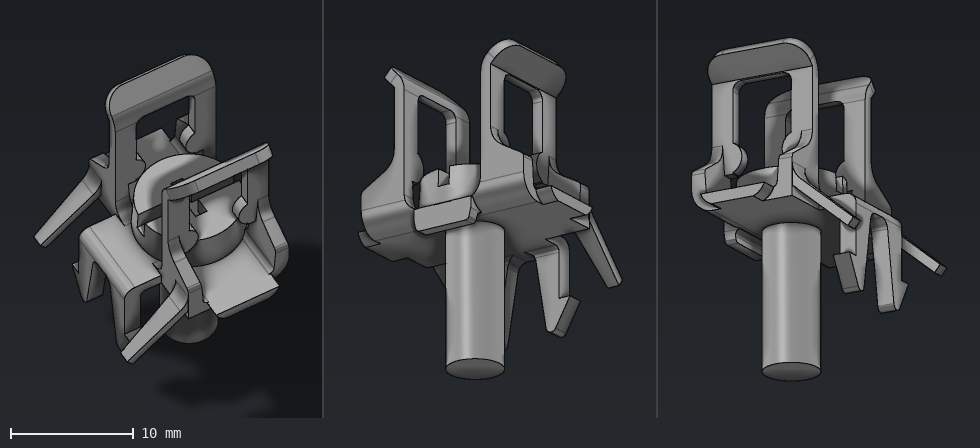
import cadquery as cq
import math

SHEET = 1.0
BODY_DEPTH = 9.5
HALF_DEPTH = BODY_DEPTH / 2
HALF_GAP = 3.75
WALL_OUT = HALF_GAP + SHEET
FLOOR_BEND = 1.5
TOP_Z = 14.5

LIP_ANGLE = 45
LIP_BEND = 2.0
LIP_REACH = 5.78
LIP_CORNER = 1.9

CHEEK_X = 8.0
CHEEK_SLOPE = 30
CHEEK_TOP_Z = 6.64
SHOULDER_CONCAVE = 2.0
SHOULDER_CONVEX = 0.5
CHEEK_INNER_TOP = 3.72
CHEEK_INNER_LOW = 3.3
CHEEK_FILLET = 0.5
REAR_ROUND = 2.0

WINDOW_HALF = 2.75
WINDOW_TOP = 11.95
WINDOW_CORNER = 0.8
BUMP_Y = 3.3
BUMP_Z = 5.44
BUMP_RADIUS = 1.4
WINDOW_STEP_Z = BUMP_Z - BUMP_RADIUS

WING_X = 9.5
WING_HALF_TOP = 3.0
WING_HALF_LOW = 1.95
WING_ROUND = 1.6

PIN_DIAMETER = 4.8
PIN_BOTTOM = -12.0
HEAD_TOP = 4.17
HEAD_RADIUS_LOW = 4.7
HEAD_RADIUS_TOP = 4.5
SLOT_WIDTH = 1.07
SLOT_DEPTH = 1.6
CROSS_LENGTH = 3.95

TONGUE_HALF = 3.68
TONGUE_FRONT = -8.25
LEG_THICK = 1.53
TONGUE_BEND = 1.0
TONGUE_INNER_BEND = 0.5
BARB_HALF = 4.77
BARB_Z = -4.5
LEG_TIP_Z = -7.27
LEG_TIP_HALF_OUT = 3.2
LEG_TIP_HALF_IN = 2.45
LEG_TIP_ROUND = 0.5
ARCH_HALF = 1.25
ARCH_ROUND = 0.9

LEVER_ROOT_WIDTH = 2.03
LEVER_TIP_WIDTH = 1.1
LEVER_ANGLE = 40
LEVER_BEND = 2.0
LEVER_TOP_Z = 2.9
LEVER_THICK = 0.84
LEVER_TIP_Y = -10.25

TAB_HALF = 2.8
TAB_THICK = 1.05
TAB_BOTTOM = -1.0
TAB_FILLET = 0.5
TAB_HALF_LOW = 2.55
TAB_CORNER = 0.35

OVER = 1.0


def mirrored(solid):
    """The solid joined with its mirror image across X = 0."""
    return solid.union(solid.mirror("YZ"))


def wall():
    """One side wall with lip, shoulder and half of the floor, on the +X side."""
    lip = math.radians(LIP_ANGLE)
    slope = math.radians(CHEEK_SLOPE)
    cos_lip, sin_lip = math.cos(lip), math.sin(lip)

    bend_dx = LIP_BEND * (1 - cos_lip)
    inner_end_x = HALF_GAP + bend_dx
    inner_end_z = TOP_Z - (LIP_REACH - inner_end_x) * math.tan(lip)
    bend_z = inner_end_z - LIP_BEND * sin_lip
    bend_x = HALF_GAP + LIP_BEND
    bend_mid = (bend_x - LIP_BEND * math.cos(lip / 2), bend_z + LIP_BEND * math.sin(lip / 2))
    tip_out = (LIP_REACH + SHEET * sin_lip, TOP_Z - SHEET * cos_lip)
    crease_z = tip_out[1] - (tip_out[0] - WALL_OUT) * math.tan(lip)

    turn = math.pi / 2 - slope
    concave_x = WALL_OUT + SHOULDER_CONCAVE
    concave_mid = (concave_x - SHOULDER_CONCAVE * math.cos(turn / 2),
                   CHEEK_TOP_Z - SHOULDER_CONCAVE * math.sin(turn / 2))
    concave_end = (concave_x - SHOULDER_CONCAVE * math.cos(turn),
                   CHEEK_TOP_Z - SHOULDER_CONCAVE * math.sin(turn))
    convex_x = CHEEK_X - SHOULDER_CONVEX
    convex_start_x = convex_x + SHOULDER_CONVEX * math.cos(turn)
    convex_start_z = concave_end[1] - (convex_start_x - concave_end[0]) * math.tan(slope)
    convex_z = convex_start_z - SHOULDER_CONVEX * math.sin(turn)
    convex_mid = (convex_x + SHOULDER_CONVEX * math.cos(turn / 2),
                  convex_z + SHOULDER_CONVEX * math.sin(turn / 2))

    floor_arc = FLOOR_BEND * (1 - math.sqrt(0.5))
    outline = (
        cq.Workplane("XZ", origin=(0, HALF_DEPTH, 0))
        .moveTo(0, 0)
        .lineTo(CHEEK_X, 0)
        .lineTo(CHEEK_X, convex_z)
        .threePointArc(convex_mid, (convex_start_x, convex_start_z))
        .lineTo(*concave_end)
        .threePointArc(concave_mid, (WALL_OUT, CHEEK_TOP_Z))
        .lineTo(WALL_OUT, crease_z)
        .lineTo(*tip_out)
        .lineTo(LIP_REACH, TOP_Z)
        .lineTo(inner_end_x, inner_end_z)
        .threePointArc(bend_mid, (HALF_GAP, bend_z))
        .lineTo(HALF_GAP, SHEET + FLOOR_BEND)
        .threePointArc((HALF_GAP - floor_arc, SHEET + floor_arc), (HALF_GAP - FLOOR_BEND, SHEET))
        .lineTo(0, SHEET)
        .close()
    )
    body = outline.extrude(BODY_DEPTH)
    tip_x = (LIP_REACH + tip_out[0]) / 2
    tip_z = (TOP_Z + tip_out[1]) / 2
    near = SHEET / 5
    for y in (-HALF_DEPTH, HALF_DEPTH):
        corner = cq.selectors.BoxSelector(
            (tip_x - near, y - near, tip_z - near), (tip_x + near, y + near, tip_z + near))
        body = body.edges(corner).fillet(LIP_CORNER)
    return body


def cheek_inner_y(z):
    """Y of the slanted inner cheek face at height z."""
    share = (z - SHEET) / (CHEEK_TOP_Z - SHEET)
    return CHEEK_INNER_LOW + share * (CHEEK_INNER_TOP - CHEEK_INNER_LOW)


def slanted_opening(x_start, x_end, top_z):
    """Space between the slanted cheek faces, from the floor up to top_z."""
    low = cheek_inner_y(SHEET)
    high = cheek_inner_y(top_z)
    return (
        cq.Workplane("YZ", origin=(x_start, 0, 0))
        .polyline([(-low, SHEET), (low, SHEET), (high, top_z), (-high, top_z)])
        .close()
        .extrude(x_end - x_start)
        .edges("|X and <Z")
        .fillet(CHEEK_FILLET)
    )


def window():
    """Opening through both side walls, pinched by two round bumps."""
    length = 2 * (CHEEK_X + OVER)
    upper = (
        cq.Workplane("YZ", origin=(-length / 2, 0, 0))
        .moveTo(0, (WINDOW_STEP_Z + WINDOW_TOP) / 2)
        .rect(2 * WINDOW_HALF, WINDOW_TOP - WINDOW_STEP_Z)
        .extrude(length)
        .edges("|X and >Z")
        .fillet(WINDOW_CORNER)
    )
    bumps = (
        cq.Workplane("YZ", origin=(-length / 2, 0, 0))
        .pushPoints([(-BUMP_Y, BUMP_Z), (BUMP_Y, BUMP_Z)])
        .circle(BUMP_RADIUS)
        .extrude(length)
    )
    lower = slanted_opening(-length / 2, length / 2, WINDOW_STEP_Z)
    return upper.cut(bumps).union(lower)


def rear_edge():
    """Material outside the round along the rear lower edge."""
    length = 2 * (CHEEK_X + OVER)
    return (
        cq.Workplane("YZ", origin=(-length / 2, 0, 0))
        .moveTo(HALF_DEPTH - REAR_ROUND, 0)
        .radiusArc((HALF_DEPTH, REAR_ROUND), -REAR_ROUND)
        .lineTo(HALF_DEPTH, 0)
        .close()
        .extrude(length)
    )


def frame():
    """Floor, side walls and cheeks with all their openings."""
    body = mirrored(wall())
    cheek_space = slanted_opening(WALL_OUT, CHEEK_X + OVER, CHEEK_TOP_Z)
    return body.cut(rear_edge()).cut(window()).cut(mirrored(cheek_space))


def wings():
    """Floor strip that sticks out through both windows."""
    return (
        cq.Workplane("YZ", origin=(-WING_X, 0, 0))
        .moveTo(-WING_HALF_LOW, 0)
        .lineTo(WING_HALF_LOW, 0)
        .radiusArc((WING_HALF_TOP, SHEET), -WING_ROUND)
        .lineTo(-WING_HALF_TOP, SHEET)
        .radiusArc((-WING_HALF_LOW, 0), -WING_ROUND)
        .close()
        .extrude(2 * WING_X)
    )


def screw():
    """Pin with a tapered, cross-slotted head."""
    pin_base = cq.Workplane("XY", origin=(0, 0, PIN_BOTTOM))
    pin = pin_base.circle(PIN_DIAMETER / 2).extrude(SHEET - PIN_BOTTOM)
    head = (
        cq.Workplane("XZ")
        .polyline([(0, SHEET), (HEAD_RADIUS_LOW, SHEET), (HEAD_RADIUS_TOP, HEAD_TOP), (0, HEAD_TOP)])
        .close()
        .revolve(360, (0, 0, 0), (0, 1, 0))
    )
    slots = cq.Workplane("XY", origin=(0, 0, HEAD_TOP - SLOT_DEPTH))
    long_slot = slots.rect(SLOT_WIDTH, BODY_DEPTH + OVER).extrude(SLOT_DEPTH)
    cross_slot = slots.rect(CROSS_LENGTH, SLOT_WIDTH).extrude(SLOT_DEPTH)
    return pin.union(head.cut(long_slot).cut(cross_slot))


def tongue():
    """Strip bent down at the front, split into two barbed legs."""
    strip = (
        cq.Workplane("YZ", origin=(-BARB_HALF, 0, 0))
        .polyline([(-HALF_DEPTH, 0), (-HALF_DEPTH, SHEET), (TONGUE_FRONT, SHEET),
                   (TONGUE_FRONT, LEG_TIP_Z), (TONGUE_FRONT + LEG_THICK, LEG_TIP_Z),
                   (TONGUE_FRONT + LEG_THICK, 0)])
        .close()
        .extrude(2 * BARB_HALF)
    )
    strip = strip.edges("|X and <Y and >Z").fillet(TONGUE_BEND)
    inner_corner = cq.selectors.NearestToPointSelector((0, TONGUE_FRONT + LEG_THICK, 0))
    strip = strip.edges(inner_corner).fillet(TONGUE_INNER_BEND)

    depth = -TONGUE_FRONT
    legs = (
        cq.Workplane("XZ")
        .polyline([(-TONGUE_HALF, SHEET), (TONGUE_HALF, SHEET), (TONGUE_HALF, BARB_Z), (BARB_HALF, BARB_Z),
                   (LEG_TIP_HALF_OUT, LEG_TIP_Z), (-LEG_TIP_HALF_OUT, LEG_TIP_Z),
                   (-BARB_HALF, BARB_Z), (-TONGUE_HALF, BARB_Z)])
        .close()
        .extrude(depth)
    )
    arch = (
        cq.Workplane("XZ")
        .polyline([(-ARCH_HALF, 0), (ARCH_HALF, 0),
                   (LEG_TIP_HALF_IN, LEG_TIP_Z), (-LEG_TIP_HALF_IN, LEG_TIP_Z)])
        .close()
        .extrude(depth)
        .edges("|Y and >Z")
        .fillet(ARCH_ROUND)
    )
    legs = legs.cut(arch)
    return strip.intersect(legs.edges("|Y and <Z").fillet(LEG_TIP_ROUND))


def lever():
    """Tapered finger bent forward from the front of the +X cheek."""
    angle = math.radians(LEVER_ANGLE)
    cos_a, sin_a = math.cos(angle), math.sin(angle)
    turn = math.pi / 2 - angle
    bend_y = -HALF_DEPTH - LEVER_BEND

    def on_bend(turned):
        return (bend_y + LEVER_BEND * math.cos(turned), LEVER_TOP_Z - LEVER_BEND * math.sin(turned))

    bend_end = on_bend(turn)
    length = (bend_end[0] - LEVER_TIP_Y) / cos_a
    tip_top = (LEVER_TIP_Y, bend_end[1] - length * sin_a)
    tip_low = (tip_top[0] + LEVER_THICK * sin_a, tip_top[1] - LEVER_THICK * cos_a)
    root_low = (-HALF_DEPTH, tip_low[1] + (-HALF_DEPTH - tip_low[0]) * math.tan(angle))
    center_x = CHEEK_X - LEVER_ROOT_WIDTH / 2

    side = (
        cq.Workplane("YZ", origin=(center_x - LEVER_ROOT_WIDTH / 2, 0, 0))
        .moveTo(-HALF_DEPTH, LEVER_TOP_Z)
        .threePointArc(on_bend(turn / 2), bend_end)
        .lineTo(*tip_top)
        .lineTo(*tip_low)
        .lineTo(*root_low)
        .close()
        .extrude(LEVER_ROOT_WIDTH)
    )
    lever_plane = cq.Plane(
        origin=(center_x, *bend_end), xDir=(1, 0, 0), normal=(0, -sin_a, cos_a))
    root = LEVER_ROOT_WIDTH / 2
    tip = LEVER_TIP_WIDTH / 2
    taper_start = LEVER_BEND * math.sin(turn)
    back = taper_start + LEVER_BEND
    plan = (
        cq.Workplane(lever_plane)
        .polyline([(-root, back), (root, back), (root, taper_start),
                   (tip, -length), (-tip, -length), (-root, taper_start)])
        .close()
        .extrude(back, both=True)
    )
    return side.intersect(plan)


def rear_tab():
    """Short tab turned down at the rear edge of the floor."""
    inner_y = HALF_DEPTH - TAB_THICK
    fillet_mid = TAB_FILLET * (1 - math.sqrt(0.5))
    bent = (
        cq.Workplane("YZ", origin=(-TAB_HALF, 0, 0))
        .moveTo(HALF_DEPTH, TAB_BOTTOM)
        .lineTo(HALF_DEPTH, SHEET)
        .lineTo(inner_y - TAB_FILLET, SHEET)
        .lineTo(inner_y - TAB_FILLET, 0)
        .threePointArc((inner_y - fillet_mid, -fillet_mid), (inner_y, -TAB_FILLET))
        .lineTo(inner_y, TAB_BOTTOM)
        .close()
        .extrude(2 * TAB_HALF)
    )
    outline = (
        cq.Workplane("XZ", origin=(0, HALF_DEPTH, 0))
        .polyline([(-TAB_HALF, SHEET), (TAB_HALF, SHEET), (TAB_HALF, 0),
                   (TAB_HALF_LOW, TAB_BOTTOM), (-TAB_HALF_LOW, TAB_BOTTOM), (-TAB_HALF, 0)])
        .close()
        .extrude(HALF_DEPTH)
        .edges("|Y and <Z")
        .fillet(TAB_CORNER)
    )
    return bent.intersect(outline)


result = (
    frame()
    .union(wings())
    .union(screw())
    .union(tongue())
    .union(mirrored(lever()))
    .union(rear_tab())
)